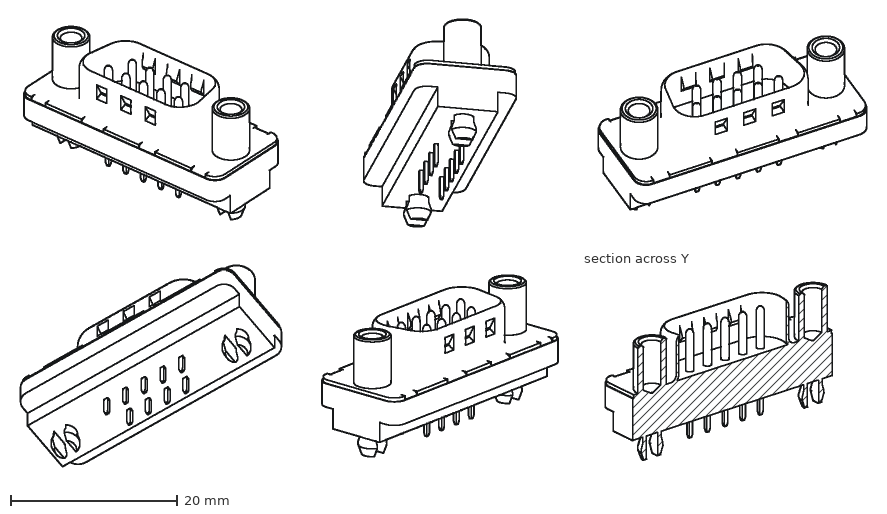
import cadquery as cq
import math

BODY_LENGTH = 31.0
BODY_WIDTH = 12.55
BODY_CORNER_RADIUS = 1.6
FOOT_WIDTH = 7.4
FOOT_HEIGHT = 2.54
SHEET_THICKNESS = 0.47

FLANGE_TOP = 6.0
FLANGE_BOTTOM = FLANGE_TOP - SHEET_THICKNESS
FLANGE_INSET = 0.1
FLANGE_LENGTH = BODY_LENGTH - 2 * FLANGE_INSET
FLANGE_WIDTH = BODY_WIDTH - 2 * FLANGE_INSET

TAB_BEND_RADIUS = 0.65
BACK_TABS = [(-13.6, -11.4), (-5.75, -2.3), (2.3, 5.75), (11.4, 13.6)]
FRONT_TABS = [(-13.6, -11.4), (-5.75, -2.3), (3.2, 5.75), (11.4, 13.6)]

SHELL_DEPTH = 9.44
SHELL_MID_HALF_WIDTH = 8.78
SHELL_SIDE_ANGLE = math.radians(10)
SHELL_CORNER_RADIUS = 3.18
SHELL_TOP = 11.87
RIM_HEIGHT = 0.93
FLARE_RADIUS = 0.78
RIM_RADIUS = (RIM_HEIGHT**2 + SHEET_THICKNESS**2) / (2 * SHEET_THICKNESS)

DIMPLE_PITCH = 3.8
DIMPLE_COUNT = 3
BUMP_PROTRUSION = 0.37
BUMP_BASE = (1.9, 8.5, 10.7)
BUMP_TIP = (1.66, 9.1, 9.45)
POCKET_DEPTH = 0.55
POCKET_MOUTH = (1.58, 8.65, 10.65)
POCKET_FLOOR = (1.15, 9.2, 9.4)

CONTACT_PITCH = 2.74
CONTACT_ROW_Y = 1.42
FRONT_ROW_COUNT = 5
BACK_ROW_COUNT = 4
PIN_RADIUS = 0.5
PIN_TOP = 11.4
PIN_TIP_HEIGHT = 0.7
PIN_TIP_RADIUS = 0.1
TAIL_LENGTH = 2.8
TAIL_WIDTH = 0.55
TAIL_THICKNESS = 0.45
TAIL_TIP_LENGTH = 0.45
TAIL_TIP_CHAMFER = 0.1

POST_SPACING = 25.0
POST_RADIUS = 2.25
POST_TOP = 12.15
POST_CHAMFER = 0.2
BORE_RADIUS = 1.3
BORE_DEPTH = 6.0
BORE_TIP_RADIUS = 0.1
BORE_TIP_HEIGHT = 0.7
COUNTERSINK_RADIUS = 1.65
CLIP_LENGTH = 3.05
CLIP_NECK_RADIUS = 1.46
CLIP_BARB_RADIUS = 1.74
CLIP_TIP_RADIUS = 1.33
CLIP_NECK_END = 0.65
CLIP_BARB_START = 1.59
CLIP_BARB_END = 1.88
CLIP_SLOT_WIDTH = 1.7
EMBED = 0.5


def block(length, width, bottom, top):
    """Centred rectangular block between two heights."""
    return cq.Workplane("XY").workplane(offset=bottom).rect(length, width).extrude(top - bottom)


def d_prism(inset, bottom, top):
    """D-shaped prism, offset inward from the outer shell wall."""
    half_depth = SHELL_DEPTH / 2 - inset
    mid_half_width = SHELL_MID_HALF_WIDTH - inset / math.cos(SHELL_SIDE_ANGLE)
    lean = half_depth * math.tan(SHELL_SIDE_ANGLE)
    corners = [
        (-mid_half_width - lean, -half_depth),
        (mid_half_width + lean, -half_depth),
        (mid_half_width - lean, half_depth),
        (-mid_half_width + lean, half_depth),
    ]
    prism = cq.Workplane("XY").workplane(offset=bottom).polyline(corners).close().extrude(top - bottom)
    return prism.edges("|Z").fillet(SHELL_CORNER_RADIUS - inset)


def flared_prism(base, inset, base_top, top, flare_radius):
    """D prism standing on a base block, blended into it by a flare."""
    prism = d_prism(inset, base_top, top)
    joined = base.union(prism)
    footprint = prism.val().BoundingBox()
    slack = flare_radius / 10
    junction = cq.selectors.BoxSelector(
        (footprint.xmin - slack, footprint.ymin - slack, base_top - slack),
        (footprint.xmax + slack, footprint.ymax + slack, base_top + slack),
    )
    return joined.edges(junction).fillet(flare_radius)


def make_body():
    foot = block(BODY_LENGTH, FOOT_WIDTH, 0, FOOT_HEIGHT)
    upper = block(BODY_LENGTH, BODY_WIDTH, FOOT_HEIGHT, FLANGE_BOTTOM)
    return foot.union(upper.edges("|Z").fillet(BODY_CORNER_RADIUS))


def tab_relief(start, end, side):
    """Material outside the rounded bend of one tab; side is +1 (back) or -1 (front)."""
    length = end - start
    edge_y = side * FLANGE_WIDTH / 2
    axis_y = edge_y - side * TAB_BEND_RADIUS
    axis_z = FLANGE_TOP - TAB_BEND_RADIUS
    corner = (
        cq.Workplane("YZ", origin=(start, 0, 0))
        .moveTo(axis_y, FLANGE_TOP)
        .lineTo(edge_y, FLANGE_TOP)
        .lineTo(edge_y, axis_z)
        .radiusArc((axis_y, FLANGE_TOP), -side * TAB_BEND_RADIUS)
        .close()
        .extrude(length)
    )
    above_body = block(BODY_LENGTH, BODY_WIDTH, FLANGE_BOTTOM, FLANGE_TOP)
    return corner.intersect(above_body)


def make_shell():
    """Sheet-metal flange and D-shaped shell, with the hollow floor at flange-top height."""
    flange = block(FLANGE_LENGTH, FLANGE_WIDTH, FLANGE_BOTTOM, FLANGE_TOP)
    flange = flange.edges("|Z").fillet(BODY_CORNER_RADIUS)
    uncut_top = SHELL_TOP - RIM_HEIGHT + RIM_RADIUS
    shell = flared_prism(flange, 0, FLANGE_TOP, uncut_top, FLARE_RADIUS)
    shell = shell.faces(">Z").edges().fillet(RIM_RADIUS)

    under_flange = block(FLANGE_LENGTH, FLANGE_WIDTH, 0, FLANGE_BOTTOM)
    inner_flare = FLARE_RADIUS + SHEET_THICKNESS
    hollow = flared_prism(under_flange, SHEET_THICKNESS, FLANGE_BOTTOM, uncut_top, inner_flare)
    above_floor = block(BODY_LENGTH, BODY_WIDTH, FLANGE_TOP, uncut_top)
    shell = shell.cut(hollow.intersect(above_floor))

    for start, end in BACK_TABS:
        shell = shell.cut(tab_relief(start, end, 1))
    for start, end in FRONT_TABS:
        shell = shell.cut(tab_relief(start, end, -1))
    return shell


def wall_frustum(x, side, wall_distance, depth, base_size, tip_size):
    """Pyramid frustum pointing inward from a long wall; side is +1 (back) or -1 (front)."""
    base_width, base_bottom, base_top = base_size
    tip_width, tip_bottom, tip_top = tip_size
    base_z = (base_bottom + base_top) / 2
    tip_z = (tip_bottom + tip_top) / 2
    plane = cq.Plane(origin=(x, side * wall_distance, base_z), xDir=(side, 0, 0), normal=(0, -side, 0))
    return (
        cq.Workplane(plane)
        .rect(base_width, base_top - base_bottom)
        .workplane(offset=depth)
        .center(0, tip_z - base_z)
        .rect(tip_width, tip_top - tip_bottom)
        .loft(ruled=True)
    )


def add_dimples(shell):
    outer_y = SHELL_DEPTH / 2
    inner_y = outer_y - SHEET_THICKNESS
    for side in (-1, 1):
        for index in range(DIMPLE_COUNT):
            x = (index - (DIMPLE_COUNT - 1) / 2) * DIMPLE_PITCH
            bump = wall_frustum(x, side, inner_y, BUMP_PROTRUSION, BUMP_BASE, BUMP_TIP)
            pocket = wall_frustum(x, side, outer_y, POCKET_DEPTH, POCKET_MOUTH, POCKET_FLOOR)
            shell = shell.union(bump).cut(pocket)
    return shell


def make_pin():
    """Round pin with a domed tip that ends in a small flat."""
    dome_start = PIN_TOP - PIN_TIP_HEIGHT
    return (
        cq.Workplane("XZ")
        .moveTo(0, FLANGE_TOP - EMBED)
        .lineTo(PIN_RADIUS, FLANGE_TOP - EMBED)
        .lineTo(PIN_RADIUS, dome_start)
        .tangentArcPoint((PIN_TIP_RADIUS, PIN_TOP), relative=False)
        .lineTo(0, PIN_TOP)
        .close()
        .revolve(360, (0, 0, 0), (0, 1, 0))
    )


def make_tail():
    """Flat solder tail with a tapered end."""
    tail = block(TAIL_WIDTH, TAIL_THICKNESS, -TAIL_LENGTH, EMBED)
    return tail.faces("<Z").edges().chamfer(TAIL_TIP_LENGTH, TAIL_TIP_CHAMFER)


def contact_positions():
    return [
        ((index - (count - 1) / 2) * CONTACT_PITCH, y)
        for count, y in ((FRONT_ROW_COUNT, -CONTACT_ROW_Y), (BACK_ROW_COUNT, CONTACT_ROW_Y))
        for index in range(count)
    ]


def revolve_profile(points):
    """Solid of revolution about Z from (radius, height) points."""
    return cq.Workplane("XZ").polyline(points).close().revolve(360, (0, 0, 0), (0, 1, 0))


def make_post():
    post = cq.Workplane("XY").workplane(offset=FLANGE_BOTTOM - EMBED).circle(POST_RADIUS)
    post = post.extrude(POST_TOP - FLANGE_BOTTOM + EMBED)
    return post.faces(">Z").edges().chamfer(POST_CHAMFER)


def make_bore():
    """Countersunk blind hole with a drill-point bottom."""
    bottom = POST_TOP - BORE_DEPTH
    return revolve_profile([
        (0, POST_TOP),
        (COUNTERSINK_RADIUS, POST_TOP),
        (BORE_RADIUS, POST_TOP - (COUNTERSINK_RADIUS - BORE_RADIUS)),
        (BORE_RADIUS, bottom),
        (BORE_TIP_RADIUS, bottom - BORE_TIP_HEIGHT),
        (0, bottom - BORE_TIP_HEIGHT),
    ])


def make_clip():
    """Barbed board lock split into two prongs by a slot along Y."""
    barb = revolve_profile([
        (0, EMBED),
        (CLIP_NECK_RADIUS, EMBED),
        (CLIP_NECK_RADIUS, -CLIP_NECK_END),
        (CLIP_BARB_RADIUS, -CLIP_BARB_START),
        (CLIP_BARB_RADIUS, -CLIP_BARB_END),
        (CLIP_TIP_RADIUS, -CLIP_LENGTH),
        (0, -CLIP_LENGTH),
    ])
    return barb.cut(block(CLIP_SLOT_WIDTH, BODY_WIDTH, -CLIP_LENGTH, EMBED))


result = make_body().union(add_dimples(make_shell()))
for contact_x, contact_y in contact_positions():
    place = (contact_x, contact_y, 0)
    result = result.union(make_pin().translate(place)).union(make_tail().translate(place))
for post_x in (-POST_SPACING / 2, POST_SPACING / 2):
    place = (post_x, 0, 0)
    result = result.union(make_post().translate(place)).union(make_clip().translate(place))
    result = result.cut(make_bore().translate(place))